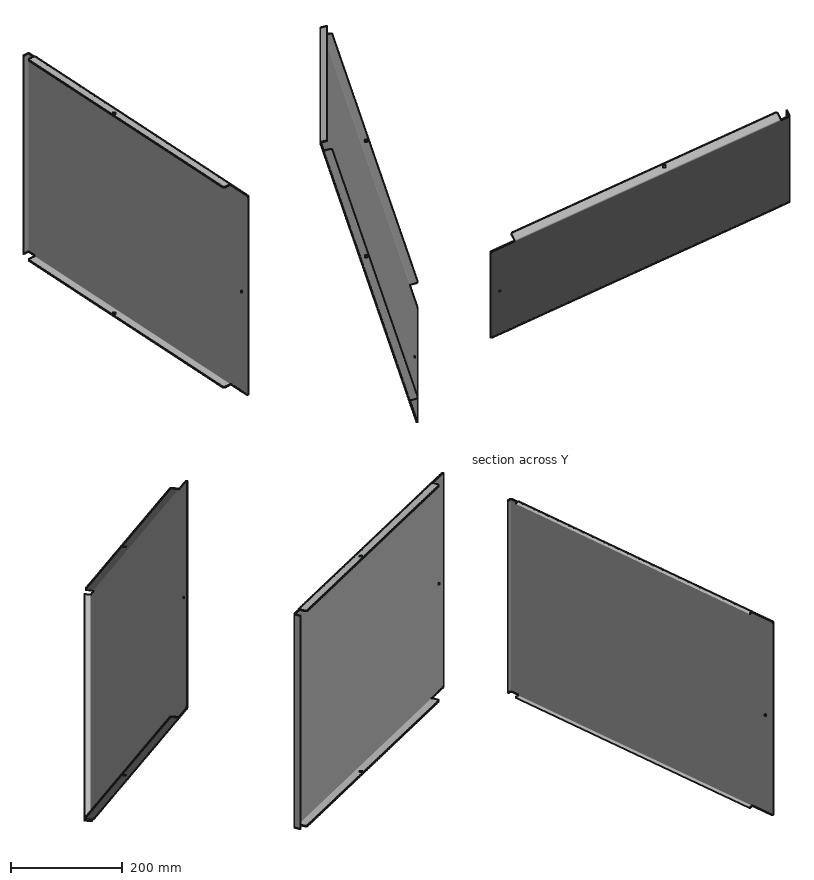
import cadquery as cq

LENGTH = 596.0
DEPTH = 17.0
HEIGHT = 440.0

THICKNESS = 2.0
BEND_INSIDE_RADIUS = 0.5
BEND_OUTSIDE_RADIUS = BEND_INSIDE_RADIUS + THICKNESS

FLANGE_START = 18.0
FLANGE_END = 548.0
FLANGE_LENGTH = FLANGE_END - FLANGE_START
FLANGE_CORNER_RADIUS = 3.5
FLANGE_HOLE_DIAMETER = 5.5
FLANGE_HOLE_X = 245.0
FLANGE_HOLE_EDGE_DISTANCE = 5.5

LIP_DEPTH = 13.0
LIP_END_INSET = 3.0
LIP_HEIGHT = HEIGHT - 2 * LIP_END_INSET

PANEL_EDGE_INSET = 2.0
PANEL_HEIGHT = HEIGHT - 2 * PANEL_EDGE_INSET
PANEL_CORNER_RADIUS = 4.0
PANEL_HOLE_DIAMETER = 3.3
PANEL_HOLE_X = 578.0


def bent_profile(plane, reach, depth):
    """L section: back face on the first axis, bend at the origin, leg along minus the second axis."""
    inside_diagonal = BEND_OUTSIDE_RADIUS - BEND_INSIDE_RADIUS * 0.5 ** 0.5
    outside_diagonal = BEND_OUTSIDE_RADIUS * (1 - 0.5 ** 0.5)
    return (
        cq.Workplane(plane)
        .moveTo(reach, 0)
        .lineTo(BEND_OUTSIDE_RADIUS, 0)
        .threePointArc((outside_diagonal, -outside_diagonal), (0, -BEND_OUTSIDE_RADIUS))
        .lineTo(0, -depth)
        .lineTo(THICKNESS, -depth)
        .lineTo(THICKNESS, -BEND_OUTSIDE_RADIUS)
        .threePointArc((inside_diagonal, -inside_diagonal), (BEND_OUTSIDE_RADIUS, -THICKNESS))
        .lineTo(reach, -THICKNESS)
        .close()
    )


def centered_slab(start, end, height):
    """Block between two X positions, thick enough to span the whole sheet."""
    return (
        cq.Workplane("XY")
        .box(end - start, DEPTH, height, centered=(False, True, True))
        .translate((start, 0, 0))
    )


def make_panel():
    """Flat sheet with rounded right-hand corners, relieved at the bends."""
    panel = (
        cq.Workplane("XY")
        .box(LENGTH - BEND_OUTSIDE_RADIUS, THICKNESS, PANEL_HEIGHT, centered=(False, False, True))
        .translate((BEND_OUTSIDE_RADIUS, -THICKNESS, 0))
        .edges("|Y and >X")
        .fillet(PANEL_CORNER_RADIUS)
    )
    lip_side = centered_slab(0, FLANGE_START, LIP_HEIGHT)
    between_bends = centered_slab(FLANGE_START, FLANGE_END, HEIGHT - 2 * BEND_OUTSIDE_RADIUS)
    free_side = centered_slab(FLANGE_END, LENGTH, PANEL_HEIGHT)
    return panel.intersect(lip_side.union(between_bends).union(free_side))


def make_top_flange():
    """Long flange along the top edge, with one hole near its free edge."""
    plane = cq.Plane(origin=(FLANGE_START, 0, HEIGHT / 2), xDir=(0, 0, -1), normal=(1, 0, 0))
    flange = bent_profile(plane, 2 * BEND_OUTSIDE_RADIUS, DEPTH).extrude(FLANGE_LENGTH)
    flange = flange.edges("|Z and <Y").fillet(FLANGE_CORNER_RADIUS)
    hole = (
        cq.Workplane("XY", origin=(0, 0, HEIGHT / 2))
        .center(FLANGE_HOLE_X, -DEPTH + FLANGE_HOLE_EDGE_DISTANCE)
        .circle(FLANGE_HOLE_DIAMETER / 2)
        .extrude(-THICKNESS)
    )
    return flange.cut(hole)


def make_left_lip():
    """Short lip bent along the left edge; it stops short of the full height."""
    plane = cq.Plane(origin=(0, 0, -LIP_HEIGHT / 2), xDir=(1, 0, 0), normal=(0, 0, 1))
    return bent_profile(plane, 2 * BEND_OUTSIDE_RADIUS, LIP_DEPTH).extrude(LIP_HEIGHT)


def make_panel_hole():
    """Cutter for the small hole near the right edge."""
    return (
        cq.Workplane("XZ")
        .center(PANEL_HOLE_X, 0)
        .circle(PANEL_HOLE_DIAMETER / 2)
        .extrude(THICKNESS)
    )


top_flange = make_top_flange()
bottom_flange = top_flange.mirror("XY")
result = (
    make_panel()
    .union(top_flange)
    .union(bottom_flange)
    .union(make_left_lip())
    .cut(make_panel_hole())
)